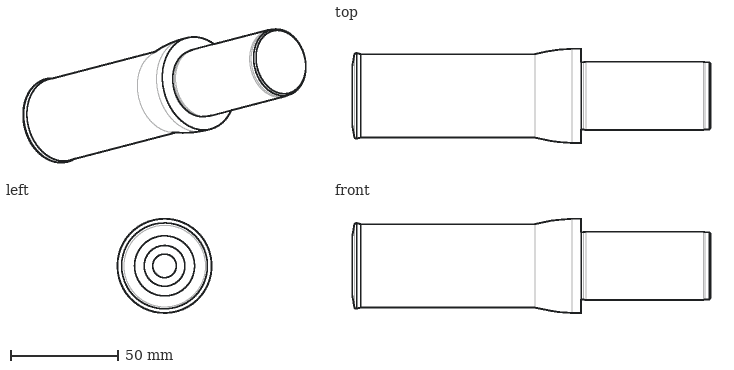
import cadquery as cq
import math

OVERALL_LENGTH = 167.0

HEAD_DIAMETER = 40.0
HEAD_END_X = 3.9
RIDGE_DIAMETER = 28.0
VALLEY_DIAMETER = 19.0
INNER_RIDGE_DIAMETER = 11.0
VALLEY_DEPTH = 0.85
CENTRE_DEPTH = 0.7
FACE_ANGLE = math.radians(10)
CORNER_RADIUS = 1.2

BODY_DIAMETER = 39.0
BODY_END_X = 85.0
FLANGE_DIAMETER = 44.0
FLARE_END_X = 102.2
FLARE_BULGE = 0.5
FLANGE_END_X = 106.65

SHANK_DIAMETER = 32.0
RELIEF_DIAMETER = 31.5
RELIEF_END_X = 107.65
RELIEF_RAMP_LENGTH = 1.2
TAIL_START_X = 164.2
TAIL_RAMP_LENGTH = 0.8
END_CHAMFER = 0.8


def revolve_about_x(profile):
    """Turn an open half profile (axial distance from the tip, radius) into a solid centred along X."""
    solid = profile.close().revolve(360, (0, 0, 0), (1, 0, 0))
    return solid.translate((-OVERALL_LENGTH / 2, 0, 0))


def make_cutting_head():
    corner_centre_radius = HEAD_DIAMETER / 2 - CORNER_RADIUS
    face_setback = (corner_centre_radius - RIDGE_DIAMETER / 2) * math.tan(FACE_ANGLE)
    corner_end_x = face_setback + CORNER_RADIUS / math.cos(FACE_ANGLE)
    corner_start_x = corner_end_x - CORNER_RADIUS * math.cos(FACE_ANGLE)
    corner_start_radius = corner_centre_radius + CORNER_RADIUS * math.sin(FACE_ANGLE)

    profile = (
        cq.Workplane("XY")
        .moveTo(CENTRE_DEPTH, 0)
        .lineTo(0, INNER_RIDGE_DIAMETER / 2)
        .lineTo(VALLEY_DEPTH, VALLEY_DIAMETER / 2)
        .lineTo(0, RIDGE_DIAMETER / 2)
        .lineTo(corner_start_x, corner_start_radius)
        .radiusArc((corner_end_x, HEAD_DIAMETER / 2), CORNER_RADIUS)
        .lineTo(HEAD_END_X, BODY_DIAMETER / 2)
        .lineTo(HEAD_END_X, 0)
    )
    return revolve_about_x(profile)


def make_holder():
    body_radius = BODY_DIAMETER / 2
    flange_radius = FLANGE_DIAMETER / 2
    shank_radius = SHANK_DIAMETER / 2
    relief_radius = RELIEF_DIAMETER / 2
    flare_middle_x = (BODY_END_X + FLARE_END_X) / 2
    flare_middle_radius = (body_radius + flange_radius) / 2 + FLARE_BULGE

    profile = (
        cq.Workplane("XY")
        .moveTo(HEAD_END_X, 0)
        .lineTo(HEAD_END_X, body_radius)
        .lineTo(BODY_END_X, body_radius)
        .threePointArc((flare_middle_x, flare_middle_radius), (FLARE_END_X, flange_radius))
        .lineTo(FLANGE_END_X, flange_radius)
        .lineTo(FLANGE_END_X, relief_radius)
        .lineTo(RELIEF_END_X, relief_radius)
        .lineTo(RELIEF_END_X + RELIEF_RAMP_LENGTH, shank_radius)
        .lineTo(TAIL_START_X - TAIL_RAMP_LENGTH, shank_radius)
        .lineTo(TAIL_START_X, relief_radius)
        .lineTo(OVERALL_LENGTH - END_CHAMFER, relief_radius)
        .lineTo(OVERALL_LENGTH, relief_radius - END_CHAMFER)
        .lineTo(OVERALL_LENGTH, 0)
    )
    return revolve_about_x(profile)


cutting_head = make_cutting_head()
holder = make_holder()

result = cq.Compound.makeCompound([cutting_head.val(), holder.val()])